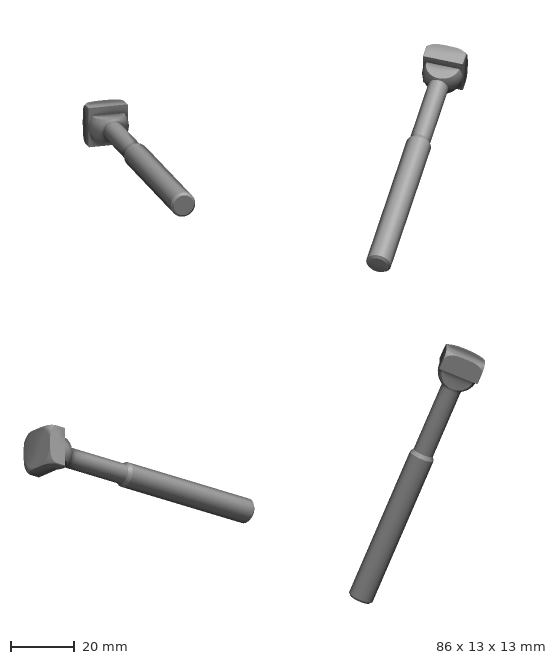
import cadquery as cq

total_length = 86.0
head_width = 13.0
head_thickness = 6.0
head_turned_radius = 9.0
head_face_radius = 6.45

collar_radius = head_width / 2
collar_height = 7.6

shank_radius = 3.3
thread_diameter = 8.0
thread_radius = thread_diameter / 2
thread_start = 34.5
lead_in_length = 1.3
end_chamfer = thread_radius - shank_radius


def make_head():
    """Square head turned to a cylinder at its corners, with a rounded front rim."""
    block = cq.Workplane("YZ").rect(head_width, head_width).extrude(head_thickness)
    turned_blank = (
        cq.Workplane("YZ")
        .circle(head_turned_radius)
        .extrude(head_thickness)
        .faces("<X")
        .edges()
        .fillet(head_turned_radius - head_face_radius)
    )
    return block.intersect(turned_blank)


def make_collar():
    """Half ball centred on the back of the head, trimmed to collar_height."""
    ball = cq.Workplane("XY").sphere(collar_radius)
    trim = cq.Workplane("XY").box(
        collar_radius, head_width, collar_height, centered=(False, True, True)
    )
    return ball.intersect(trim).translate((head_thickness, 0, 0))


def make_shaft():
    """Slim shank widening through a lead-in to the chamfered threaded end."""
    return (
        cq.Workplane("XY")
        .moveTo(head_thickness, 0)
        .lineTo(head_thickness, shank_radius)
        .lineTo(thread_start, shank_radius)
        .lineTo(thread_start + lead_in_length, thread_radius)
        .lineTo(total_length - end_chamfer, thread_radius)
        .lineTo(total_length, thread_radius - end_chamfer)
        .lineTo(total_length, 0)
        .close()
        .revolve(360, (0, 0, 0), (1, 0, 0))
    )


result = make_head().union(make_collar()).union(make_shaft())